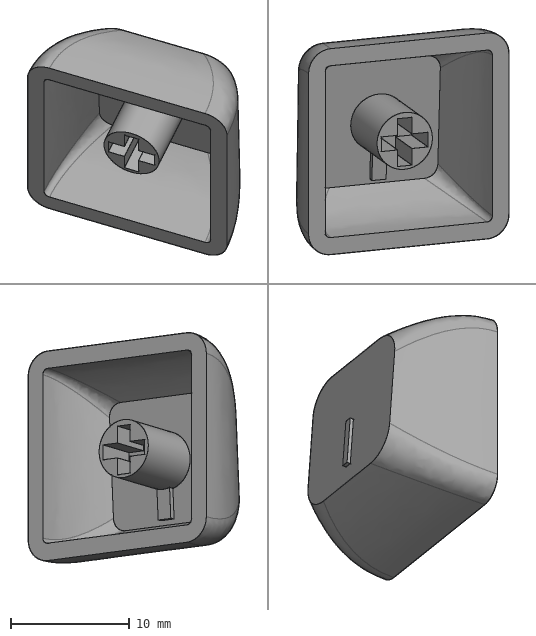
import cadquery as cq
import math


rim_size = 18.1
rim_radius = 2.0
top_size = 12.67
top_radius = 2.68
top_height = 8.89
top_tilt = 4.0

wall = 1.5
opening_size = rim_size - 2 * wall
opening_radius = rim_radius - wall
ceiling_size = 10.97
ceiling_radius = 1.18
ceiling_height = top_height - wall / math.cos(math.radians(top_tilt))

halfway_change = 0.25

stem_diameter = 5.0
stem_recess = 1.0
cross_span = 4.2
cross_slot_width = 1.29
cross_depth = 4.0
cross_drop = 0.09

window_width = 0.67
window_length = 4.52
window_proud = 0.33
window_offset = 2.35
flange_margin = 0.3
flange_width = window_width + 2 * flange_margin
flange_length = window_length + 2 * flange_margin
flange_thickness = 0.5


def level_plane(height, tilt):
    """Plane across the cap at a height, facing +Y, with its lower side tipped outwards.

    Its local x runs along +X and its local y runs down, towards -Z.
    """
    square_to_axis = cq.Plane(origin=(0, height, 0), xDir=(1, 0, 0), normal=(0, 1, 0))
    return square_to_axis.rotated((tilt, 0, 0))


def rounded_square(size, radius):
    return cq.Sketch().rect(size, size).vertices().fillet(radius)


def make_tapered_block(base_size, base_radius, end_size, end_radius, height):
    """Rounded block from a square base in Y = 0 to a tilted square end, with convex curved sides."""
    mid_size = base_size + halfway_change * (end_size - base_size)
    mid_radius = base_radius + halfway_change * (end_radius - base_radius)
    base = rounded_square(base_size, base_radius).moved(level_plane(0, 0).location)
    middle = rounded_square(mid_size, mid_radius).moved(level_plane(height / 2, top_tilt / 2).location)
    end = rounded_square(end_size, end_radius).moved(level_plane(height, top_tilt).location)
    return cq.Workplane().placeSketch(base, middle, end).loft()


def make_stem():
    """Round post from just inside the rim up into the top wall, with a cross socket in its free end."""
    base = cq.Workplane(level_plane(stem_recess, 0))
    post = base.circle(stem_diameter / 2).extrude(top_height - wall / 2 - stem_recess)
    for width, length in ((cross_span, cross_slot_width), (cross_slot_width, cross_span)):
        arm = base.center(0, cross_drop).rect(width, length).extrude(cross_depth)
        post = post.cut(arm)
    return post


def make_indicator():
    """T-section bar: flange against the ceiling, window passing through the top and standing proud."""
    ceiling_plane = level_plane(top_height, top_tilt)
    ceiling_plane.origin = ceiling_plane.toWorldCoords((0, window_offset, -wall))
    ceiling = cq.Workplane(ceiling_plane)
    window = ceiling.rect(window_width, window_length).extrude(wall + window_proud)
    flange = ceiling.rect(flange_width, flange_length).extrude(-flange_thickness)
    return window.union(flange)


def make_keycap(indicator):
    """Hollow cap with its stem, cut out to seat the indicator bar."""
    body = make_tapered_block(rim_size, rim_radius, top_size, top_radius, top_height)
    cavity = make_tapered_block(opening_size, opening_radius, ceiling_size, ceiling_radius, ceiling_height)
    return body.cut(cavity).union(make_stem()).cut(indicator)


indicator = make_indicator()
keycap = make_keycap(indicator)

result = cq.Compound.makeCompound([keycap.solids().val(), indicator.solids().val()])